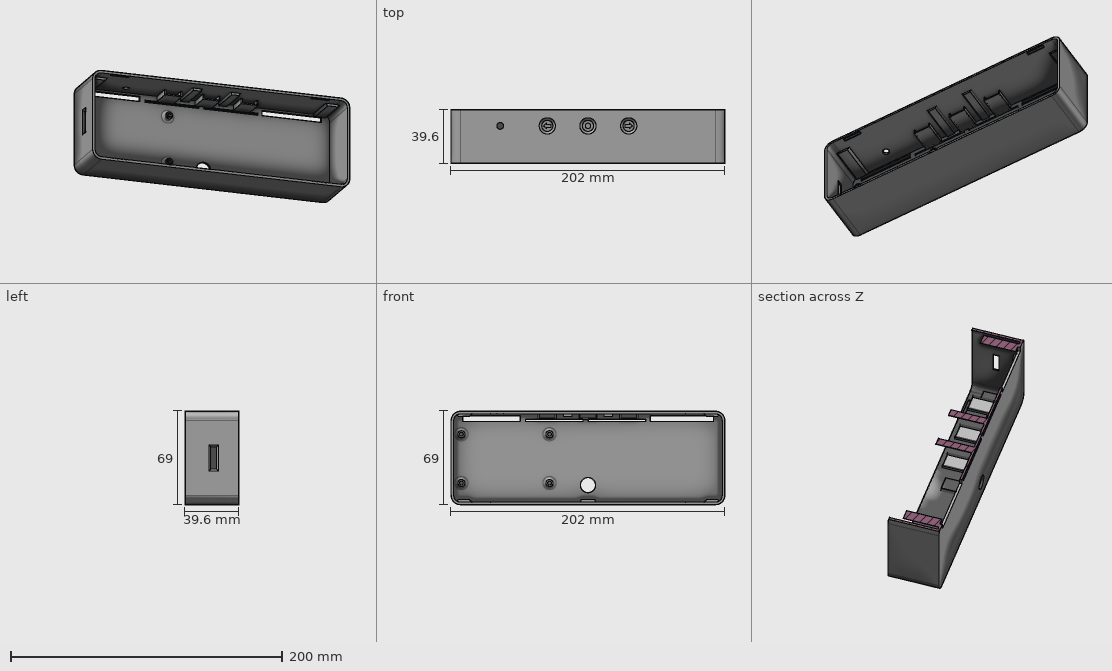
import cadquery as cq
import math

WIDTH = 202.0
DEPTH = 39.6
HEIGHT = 69.0
WALL = 2.0
CORNER_RADIUS = 7.0

INNER_WIDTH = WIDTH - 2 * WALL
INNER_HEIGHT = HEIGHT - 2 * WALL
INNER_RADIUS = CORNER_RADIUS - WALL
INNER_BACK = DEPTH - WALL
INNER_HALF = INNER_WIDTH / 2
CEILING = INNER_HEIGHT / 2

POST_XS = (-93.35, -28.35)
POST_ZS = (-18.5, 17.5)
POST_DIAMETER = 5.2
POST_FLARE = 2.3
POST_HEIGHT = 3.5
POST_BORE = 2.8

CABLE_HOLE_DIAMETER = 11.0
CABLE_HOLE_Z = -20.0
SLOT_BOTTOM = 27.0
END_SLOT_HEIGHT = 4.0
LEFT_SLOT_X = (-92.2, -50.0)
RIGHT_SLOT_X = (46.0, 92.4)
MID_SLOT_X = ((-46.0, -3.8), (0.3, 42.5))

BUTTON_PITCH = 30.0
BUTTON_Y = DEPTH - 12.0
DISH_DIAMETER = 12.0
DISH_FLOOR_DIAMETER = 8.2
DISH_DEPTH = 1.0
ICON_DEPTH = 0.15
RING_DIAMETER = 4.0
ARROW_LENGTH = 5.4
ARROW_HEAD = 2.0
ARROW_HEAD_WIDTH = 4.0
ARROW_SHAFT_WIDTH = 2.0
SENSOR_DIAMETER = 5.0
SENSOR_X = -64.7

SLEEVE_WIDTH = 13.4
SLEEVE_DROP = 4.0
SLEEVE_WALL = 0.9
SLEEVE_FRONT_Y = BUTTON_Y - SLEEVE_WIDTH / 2
MID_SLOT_HEIGHT = CEILING - SLEEVE_DROP - SLOT_BOTTOM

PAD_FRONT_Y = 10.0
PAD_THICKNESS = 1.8
CORNER_PAD_INSET = 1.6
CORNER_PAD_WIDTH = 11.7
CORNER_PAD_SLOPE = 1.8
CORNER_PAD_X = INNER_HALF - CORNER_PAD_INSET - CORNER_PAD_WIDTH / 2
CENTRE_PAD_WIDTH = 10.6
CENTRE_PAD_FOOT = 1.0
RIB_X = 15.0
RIB_WIDTH = 6.2
RIB_FOOT = 1.0

GROOVE_LENGTH = 13.8
GROOVE_X = 78.7
GROOVE_Y = 1.5
GROOVE_WIDTH = 2.0
GROOVE_DEPTH = 0.8

PORT_Y = 18.6
PORT_OUTER = (7.0, 19.2)
PORT_INNER = (4.4, 16.4)
PORT_TAPER_DEPTH = 1.0


def box(x_range, y_range, z_range):
    """Axis-aligned box between the given limits."""
    size = [high - low for low, high in (x_range, y_range, z_range)]
    low_corner = (x_range[0], y_range[0], z_range[0])
    return cq.Workplane("XY").box(*size, centered=False).translate(low_corner)


def rounded_block(width, height, radius, y_length):
    """Block along +Y from the rim plane with its four long edges rounded."""
    block = cq.Workplane("XZ").rect(width, height).extrude(-y_length)
    return block.edges("|Y").fillet(radius)


def cavity():
    return rounded_block(INNER_WIDTH, INNER_HEIGHT, INNER_RADIUS, INNER_BACK)


def sloped_pad(x, width, slope, side):
    """Strip on the ceiling (side = 1) or floor (side = -1), with sloped long sides."""
    half = width / 2
    surface = side * CEILING
    crest = side * (CEILING - PAD_THICKNESS)
    outline = [
        (x - half, surface),
        (x - half + slope, crest),
        (x + half - slope, crest),
        (x + half, surface),
    ]
    profile = cq.Workplane("XZ", origin=(0, PAD_FRONT_Y, 0)).polyline(outline).close()
    return profile.extrude(-(INNER_BACK - PAD_FRONT_Y))


def filleted_pad(x, width, foot, side):
    """Strip on the ceiling or floor with upright long sides and concave fillets at their feet."""
    half = width / 2
    surface = side * CEILING
    crest = side * (CEILING - PAD_THICKNESS)
    foot_end = side * (CEILING - foot)
    bend = foot * (1 - math.sqrt(0.5))
    bend_z = side * (CEILING - bend)
    profile = (
        cq.Workplane("XZ", origin=(0, PAD_FRONT_Y, 0))
        .moveTo(x - half - foot, surface)
        .threePointArc((x - half - bend, bend_z), (x - half, foot_end))
        .lineTo(x - half, crest)
        .lineTo(x + half, crest)
        .lineTo(x + half, foot_end)
        .threePointArc((x + half + bend, bend_z), (x + half + foot, surface))
        .close()
    )
    return profile.extrude(-(INNER_BACK - PAD_FRONT_Y))


def sensor_sleeve(x):
    """Thin-walled tray hung from the ceiling, open at the front and closed by the back wall."""
    half = SLEEVE_WIDTH / 2
    half_inside = half - SLEEVE_WALL
    bottom = CEILING - SLEEVE_DROP
    y_range = (SLEEVE_FRONT_Y, INNER_BACK)
    outside = box((x - half, x + half), y_range, (bottom, CEILING))
    inside = box((x - half_inside, x + half_inside), y_range, (bottom + SLEEVE_WALL, CEILING))
    return outside.cut(inside)


def button_dish(x):
    """Conical finger recess in the top face."""
    dish = cq.Solid.makeCone(
        DISH_FLOOR_DIAMETER / 2, DISH_DIAMETER / 2, DISH_DEPTH,
        pnt=cq.Vector(x, BUTTON_Y, HEIGHT / 2 - DISH_DEPTH),
    )
    return cq.Workplane(dish)


def dish_floor(x):
    return cq.Workplane("XY", origin=(x, BUTTON_Y, HEIGHT / 2 - DISH_DEPTH))


def arrow_icon(x, direction):
    """Arrow sunk in the dish floor, pointing along direction * X."""
    tip = direction * ARROW_LENGTH / 2
    neck = tip - direction * ARROW_HEAD
    half_shaft = ARROW_SHAFT_WIDTH / 2
    half_head = ARROW_HEAD_WIDTH / 2
    outline = [
        (tip, 0),
        (neck, half_head),
        (neck, half_shaft),
        (-tip, half_shaft),
        (-tip, -half_shaft),
        (neck, -half_shaft),
        (neck, -half_head),
    ]
    return dish_floor(x).polyline(outline).close().extrude(-ICON_DEPTH)


def standoff(x, z):
    """Post on the back wall with a concave flare at its foot and a bore open at the front."""
    radius = POST_DIAMETER / 2
    foot = radius + POST_FLARE
    bore = POST_BORE / 2
    bend = POST_FLARE * (1 - math.sqrt(0.5))
    profile = (
        cq.Workplane("XY")
        .moveTo(bore, -WALL / 2)
        .lineTo(foot, -WALL / 2)
        .lineTo(foot, 0)
        .threePointArc((radius + bend, bend), (radius, POST_FLARE))
        .lineTo(radius, POST_HEIGHT)
        .lineTo(bore, POST_HEIGHT)
        .close()
    )
    post = profile.revolve(360, (0, 0, 0), (0, 1, 0))
    return post.rotate((0, 0, 0), (0, 0, 1), 180).translate((x, INNER_BACK, z))


def back_slot(x_range, height):
    return box(x_range, (INNER_BACK, DEPTH), (SLOT_BOTTOM, SLOT_BOTTOM + height))


def snap_groove(x, side):
    surface = side * CEILING
    floor = side * (CEILING + GROOVE_DEPTH)
    return box(
        (x - GROOVE_LENGTH / 2, x + GROOVE_LENGTH / 2),
        (GROOVE_Y, GROOVE_Y + GROOVE_WIDTH),
        (min(surface, floor), max(surface, floor)),
    )


def connector_port():
    """Opening through the left wall with a tapered mouth and straight inner part."""
    mouth_plane = cq.Workplane("YZ", origin=(-WIDTH / 2, PORT_Y, 0))
    taper_end = mouth_plane.rect(*PORT_OUTER).workplane(offset=PORT_TAPER_DEPTH)
    mouth = taper_end.rect(*PORT_INNER).loft(ruled=True)
    return mouth.union(mouth_plane.rect(*PORT_INNER).extrude(WALL))


def build():
    button_xs = [i * BUTTON_PITCH for i in (-1, 0, 1)]
    shell = rounded_block(WIDTH, HEIGHT, CORNER_RADIUS, DEPTH)
    case = shell.cut(cavity())

    for side in (-1, 1):
        for x in (-CORNER_PAD_X, CORNER_PAD_X):
            case = case.union(sloped_pad(x, CORNER_PAD_WIDTH, CORNER_PAD_SLOPE, side))
    case = case.union(filleted_pad(0, CENTRE_PAD_WIDTH, CENTRE_PAD_FOOT, -1))
    for x in (-RIB_X, RIB_X):
        case = case.union(filleted_pad(x, RIB_WIDTH, RIB_FOOT, 1))
    for x in button_xs:
        case = case.union(sensor_sleeve(x))
    for x in POST_XS:
        for z in POST_ZS:
            case = case.union(standoff(x, z))

    for x in button_xs:
        case = case.cut(button_dish(x))
    case = case.cut(arrow_icon(button_xs[0], -1))
    case = case.cut(dish_floor(button_xs[1]).circle(RING_DIAMETER / 2).extrude(-ICON_DEPTH))
    case = case.cut(arrow_icon(button_xs[2], 1))

    sensor = cq.Workplane("XY", origin=(SENSOR_X, BUTTON_Y, CEILING))
    case = case.cut(sensor.circle(SENSOR_DIAMETER / 2).extrude(WALL))
    cable = cq.Workplane("XZ", origin=(0, INNER_BACK, CABLE_HOLE_Z))
    case = case.cut(cable.circle(CABLE_HOLE_DIAMETER / 2).extrude(-WALL))
    for x_range in (LEFT_SLOT_X, RIGHT_SLOT_X):
        case = case.cut(back_slot(x_range, END_SLOT_HEIGHT))
    for x_range in MID_SLOT_X:
        case = case.cut(back_slot(x_range, MID_SLOT_HEIGHT))
    for x in (-GROOVE_X, GROOVE_X):
        for side in (-1, 1):
            case = case.cut(snap_groove(x, side))
    return case.cut(connector_port())


result = build()